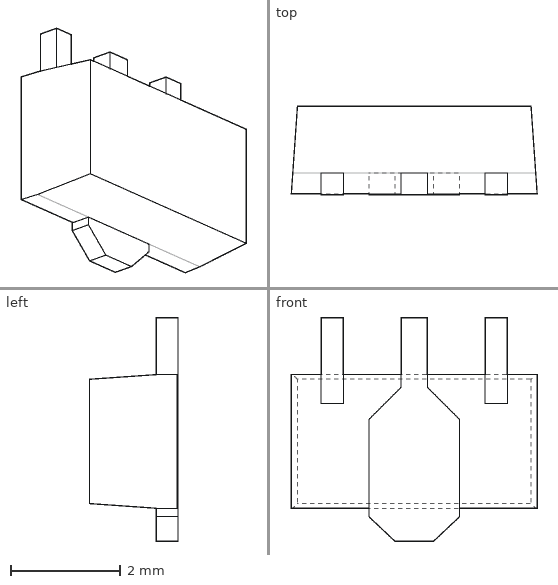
import cadquery as cq
import math

body_length = 4.5
body_height = 2.45
total_depth = 1.62
draft_angle = 4.0

metal_thickness = 0.4
metal_standoff = 0.02
lead_pitch = 1.5
lead_width = 0.405
lead_length = 1.57
lead_projection = 1.04

neck_width = 0.48
neck_length = 1.275
tab_width = 1.66
tab_drop = 0.605
tab_chamfer_x = 0.475
tab_chamfer_z = 0.45

body_front = metal_standoff
body_depth = total_depth - metal_standoff
lead_top = body_height / 2 + lead_projection
tab_bottom = -body_height / 2 - tab_drop


def prism_along_y(points):
    """Extrude an XZ outline over the full metal thickness."""
    return cq.Workplane("XZ").polyline(points).close().extrude(-metal_thickness)


def make_body():
    """Body tapered on its ends over the full depth, and above and below only behind the metal."""
    draft = math.tan(math.radians(draft_angle))
    front_x = body_length / 2
    back_x = front_x - body_depth * draft
    front_z = body_height / 2
    back_z = front_z - (total_depth - metal_thickness) * draft

    plan = [
        (-front_x, body_front),
        (front_x, body_front),
        (back_x, total_depth),
        (-back_x, total_depth),
    ]
    profile = [
        (body_front, -front_z),
        (metal_thickness, -front_z),
        (total_depth, -back_z),
        (total_depth, back_z),
        (metal_thickness, front_z),
        (body_front, front_z),
    ]
    plan_prism = cq.Workplane("XY").polyline(plan).close().extrude(body_height / 2, both=True)
    profile_prism = cq.Workplane("YZ").polyline(profile).close().extrude(body_length / 2, both=True)
    return plan_prism.intersect(profile_prism)


def make_outer_lead(center_x):
    """Straight rectangular lead, partly embedded in the body."""
    left = center_x - lead_width / 2
    right = center_x + lead_width / 2
    lead_bottom = lead_top - lead_length
    return prism_along_y([(left, lead_bottom), (right, lead_bottom), (right, lead_top), (left, lead_top)])


def make_center_tab():
    """Centre lead with 45 degree shoulders and a plate with cut bottom corners."""
    neck_x = neck_width / 2
    tab_x = tab_width / 2
    foot_x = tab_x - tab_chamfer_x
    neck_bottom = lead_top - neck_length
    shoulder_bottom = neck_bottom - (tab_x - neck_x)
    chamfer_top = tab_bottom + tab_chamfer_z

    right_side = [
        (foot_x, tab_bottom),
        (tab_x, chamfer_top),
        (tab_x, shoulder_bottom),
        (neck_x, neck_bottom),
        (neck_x, lead_top),
    ]
    left_side = [(-x, z) for x, z in reversed(right_side)]
    return prism_along_y(right_side + left_side)


result = make_body().union(make_center_tab())
for center_x in (-lead_pitch, lead_pitch):
    result = result.union(make_outer_lead(center_x))